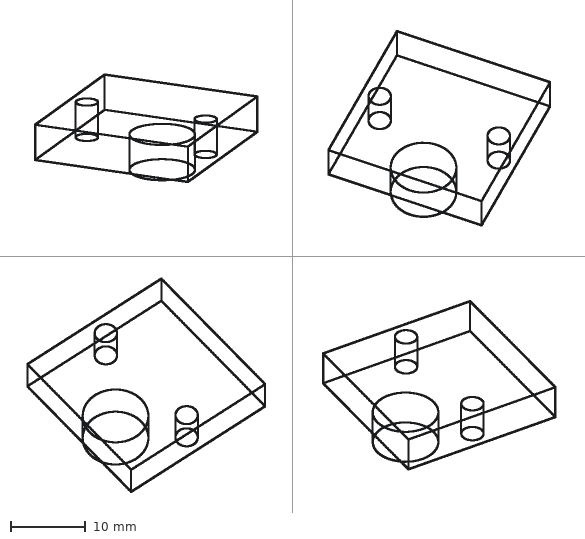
import cadquery as cq

PLATE_WIDTH = 22.4
PLATE_DEPTH = 22.9
PLATE_THICKNESS = 5.0

BOSS_DIAMETER = 8.8
BOSS_HEIGHT = 5.0
BOSS_OFFSET_Y = 5.25

HOLE_DIAMETER = 3.0
HOLE_SPACING = 17.4


def make_plate():
    """Rectangular plate standing on the XY plane."""
    return cq.Workplane("XY").box(
        PLATE_WIDTH, PLATE_DEPTH, PLATE_THICKNESS, centered=(True, True, False)
    )


def make_boss():
    """Cylindrical boss hanging below the plate."""
    return (
        cq.Workplane("XY")
        .center(0, BOSS_OFFSET_Y)
        .circle(BOSS_DIAMETER / 2)
        .extrude(-BOSS_HEIGHT)
    )


def make_holes():
    """Cylinders that cut the two holes through the plate."""
    return (
        cq.Workplane("XY")
        .pushPoints([(-HOLE_SPACING / 2, 0), (HOLE_SPACING / 2, 0)])
        .circle(HOLE_DIAMETER / 2)
        .extrude(PLATE_THICKNESS)
    )


result = make_plate().union(make_boss()).cut(make_holes())